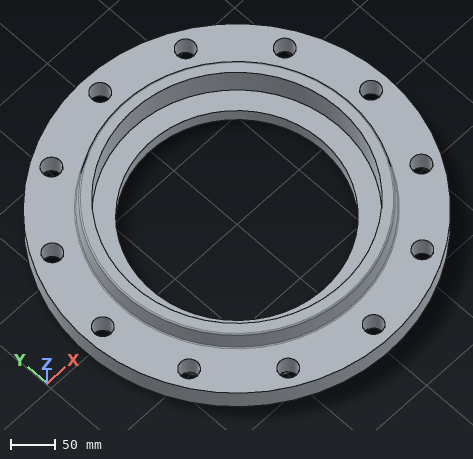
import cadquery as cq

total_height = 60.5
raised_face_height = 6.0
flange_thickness = 31.0
flange_top = raised_face_height + flange_thickness

flange_diameter = 482.5
raised_face_diameter = 406.0
hub_base_diameter = 364.5
hub_top_diameter = 357.0
hub_top_fillet = 2.0
hub_base_fillet = 1.5

bore_diameter = 273.5
socket_diameter = 327.5
socket_floor = 20.7

bolt_count = 12
bolt_circle_diameter = 432.5
bolt_hole_diameter = 25.5


def make_body():
    """Raised face, flange disc and tapered hub, as one solid of revolution."""
    profile = (
        cq.Workplane("XZ")
        .lineTo(raised_face_diameter / 2, 0)
        .lineTo(raised_face_diameter / 2, raised_face_height)
        .lineTo(flange_diameter / 2, raised_face_height)
        .lineTo(flange_diameter / 2, flange_top)
        .lineTo(hub_base_diameter / 2, flange_top)
        .lineTo(hub_top_diameter / 2, total_height)
        .lineTo(0, total_height)
        .close()
    )
    return profile.revolve(360, (0, 0), (0, 1))


def round_hub(body):
    """Round the top rim of the hub and blend its foot into the flange."""
    body = body.faces(">Z").edges().fillet(hub_top_fillet)
    flange_top_face = body.faces("+Z").faces("<Z")
    return flange_top_face.edges(cq.selectors.RadiusNthSelector(0)).fillet(hub_base_fillet)


def make_openings():
    """Through bore and the wider socket above its ledge."""
    bore = cq.Workplane("XY").circle(bore_diameter / 2).extrude(total_height)
    socket = (
        cq.Workplane("XY", origin=(0, 0, socket_floor))
        .circle(socket_diameter / 2)
        .extrude(total_height - socket_floor)
    )
    return bore.union(socket)


def make_bolt_holes():
    """Ring of through holes, the first one on the +X axis."""
    return (
        cq.Workplane("XY")
        .polarArray(bolt_circle_diameter / 2, 0, 360, bolt_count)
        .circle(bolt_hole_diameter / 2)
        .extrude(flange_top)
    )


result = round_hub(make_body()).cut(make_openings()).cut(make_bolt_holes())